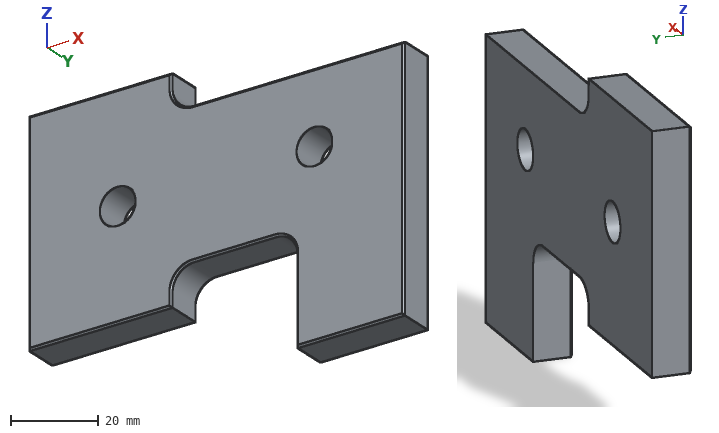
import cadquery as cq

length = 105.0
thickness = 9.8
height = 80.0

left_width = 40.0
left_height = 60.0
top_step = 10.0
leg_width = 30.0
notch_depth = 30.0
corner_radius = 6.0
edge_chamfer = 0.5

hole_diameter = 10.0
hole_x_positions = (25.0, 80.0)
hole_drop = 30.0

left_bottom = height - left_height
right_top = height - top_step
leg_left = length - leg_width
notch_top = notch_depth
hole_z = height - hole_drop


def make_plate():
    """Stepped plate with its front face at Y = 0 and its back at Y = thickness."""
    outline = [
        (0, left_bottom),
        (left_width, left_bottom),
        (left_width, notch_top),
        (leg_left, notch_top),
        (leg_left, 0),
        (length, 0),
        (length, right_top),
        (left_width, right_top),
        (left_width, height),
        (0, height),
    ]
    return cq.Workplane("XZ").polyline(outline).close().extrude(-thickness)


def round_inner_corners(plate):
    """Round the two notch corners and the corner of the top step."""
    inner_corners = [
        (left_width, notch_top),
        (leg_left, notch_top),
        (left_width, right_top),
    ]
    for x, z in inner_corners:
        corner_edge = cq.selectors.NearestToPointSelector((x, thickness / 2, z))
        plate = plate.edges("|Y").edges(corner_edge).fillet(corner_radius)
    return plate


def make_holes():
    hole_centers = [(x, hole_z) for x in hole_x_positions]
    return cq.Workplane("XZ").pushPoints(hole_centers).circle(hole_diameter / 2).extrude(-thickness)


plate = round_inner_corners(make_plate())
plate = plate.faces("<Y").edges().chamfer(edge_chamfer)
result = plate.cut(make_holes())